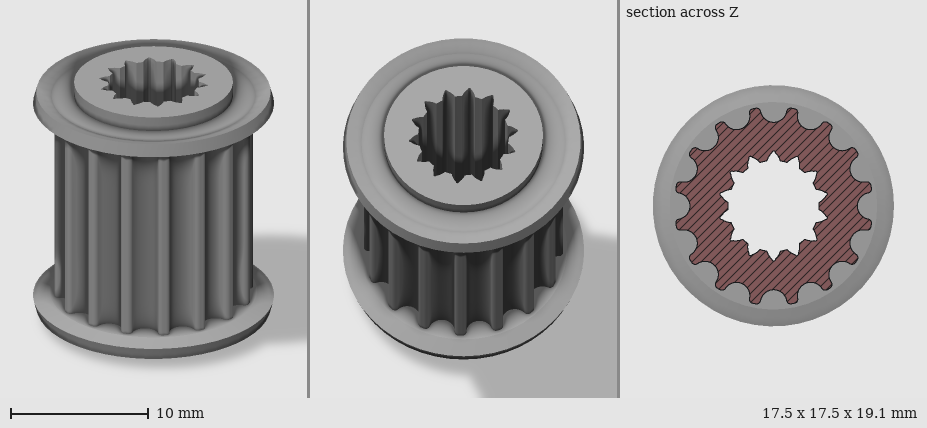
import cadquery as cq
import math

height = 19.05
hub_radius = 5.77
hub_height = 0.8

flange_thickness = 0.97
dish_angle = math.radians(15)
flange_flat_radius = 7.41
flange_radius = 8.76

belt_tooth_count = 16
belt_radius = 7.24
belt_groove_radius = 0.95
belt_groove_floor_radius = 6.1
belt_lip_radius = 0.3

spline_count = 14
bore_radius = 3.3
spline_root_radius = 3.98
spline_mouth_half_width = 0.48
spline_tip_half_width = 0.11
spline_flank_bulge = 0.05

rim_shift = flange_thickness * math.sin(dish_angle)
rim_drop = flange_thickness * math.cos(dish_angle)
dish_top_radius = flange_radius - rim_shift
dish_depth = (dish_top_radius - flange_flat_radius) * math.tan(dish_angle)
flange_inner_z = height / 2 - hub_height - dish_depth - flange_thickness


def polar(radius, angle):
    """Point at an angle measured clockwise from +Y."""
    return (radius * math.sin(angle), radius * math.cos(angle))


def mirror_x(point):
    return (-point[0], point[1])


def rotate_copies(shape, count):
    """Copies of a solid spread evenly around Z."""
    copies = cq.Workplane("XY")
    for index in range(count):
        copies = copies.add(shape.rotate((0, 0, 0), (0, 0, 1), index * 360 / count))
    return copies.combine()


def make_belt_groove():
    """Round-bottomed groove cutter whose lips blend into the tooth tops."""
    groove_center = belt_groove_floor_radius + belt_groove_radius
    lip_orbit = belt_radius - belt_lip_radius
    center_gap = belt_groove_radius + belt_lip_radius
    cos_lip = (lip_orbit**2 + groove_center**2 - center_gap**2) / (2 * lip_orbit * groove_center)
    lip_angle = math.acos(cos_lip)
    lip_x, lip_y = polar(lip_orbit, lip_angle)
    top = polar(belt_radius, lip_angle)
    share = belt_groove_radius / center_gap
    wall = (lip_x * share, groove_center + (lip_y - groove_center) * share)
    wall_direction = math.atan2(wall[0] - lip_x, wall[1] - lip_y)
    offset = polar(belt_lip_radius, (lip_angle + wall_direction) / 2)
    middle = (lip_x + offset[0], lip_y + offset[1])
    return (
        cq.Workplane("XY")
        .moveTo(*top)
        .threePointArc(middle, wall)
        .threePointArc((0, belt_groove_floor_radius), mirror_x(wall))
        .threePointArc(mirror_x(middle), mirror_x(top))
        .threePointArc((0, belt_radius), top)
        .close()
        .extrude(flange_inner_z, both=True)
    )


def make_toothed_body():
    body = cq.Workplane("XY").circle(belt_radius).extrude(flange_inner_z, both=True)
    return body.cut(rotate_copies(make_belt_groove().val(), belt_tooth_count))


def make_upper_end():
    """Upper dished flange with its hub, as one revolved profile."""
    flat_outer_z = flange_inner_z + flange_thickness
    bend_shift = flange_thickness * math.tan(dish_angle / 2)
    top_z = flat_outer_z + dish_depth
    outline = [
        (0, flange_inner_z),
        (flange_flat_radius + bend_shift, flange_inner_z),
        (flange_radius, top_z - rim_drop),
        (dish_top_radius, top_z),
        (flange_flat_radius, flat_outer_z),
        (hub_radius, flat_outer_z),
        (hub_radius, height / 2),
        (0, height / 2),
    ]
    return cq.Workplane("XZ").polyline(outline).close().revolve(360, (0, 0), (0, 1))


def make_spline_bore():
    """Through bore with pointed, round-tipped spline grooves."""
    mouth = (spline_mouth_half_width, math.sqrt(bore_radius**2 - spline_mouth_half_width**2))
    tip = (spline_tip_half_width, spline_root_radius - spline_tip_half_width)
    flank = ((mouth[0] + tip[0]) / 2 + spline_flank_bulge, (mouth[1] + tip[1]) / 2)
    groove = (
        cq.Workplane("XY")
        .moveTo(0, 0)
        .lineTo(*mouth)
        .threePointArc(flank, tip)
        .threePointArc((0, spline_root_radius), mirror_x(tip))
        .threePointArc(mirror_x(flank), mirror_x(mouth))
        .close()
        .extrude(height / 2, both=True)
    )
    bore = cq.Workplane("XY").circle(bore_radius).extrude(height / 2, both=True)
    return bore.union(rotate_copies(groove.val(), spline_count))


upper_end = make_upper_end()
lower_end = upper_end.mirror("XY")
result = make_toothed_body().union(upper_end).union(lower_end).cut(make_spline_bore())